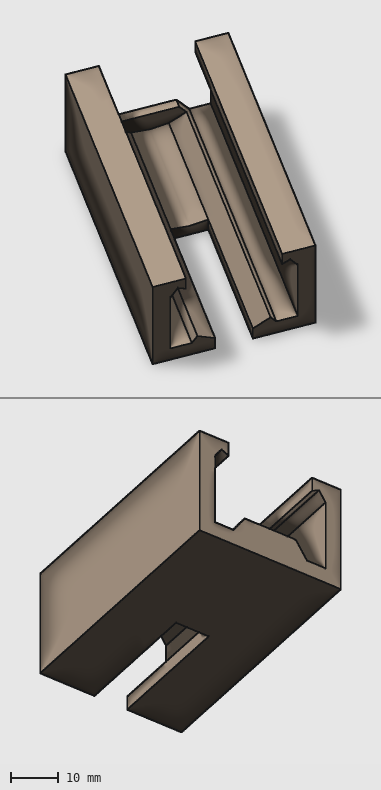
import cadquery as cq

length = 59.5
width = 36.0
height = 26.5
half_width = width / 2

wall = 3.9
floor = 3.85

lip_width = 7.4
lip_tip_z = 22.95
lip_notch_offset = 5.6
lip_notch_z = 23.9
lip_root_z = 21.35

rib_top_z = 8.15
rib_base_half = 9.35
rib_top_half = 6.5

end_plate = 2.0
trough_half = 8.1
trough_knee_z = 3.5
trough_center_z = 3.0

slot_start = 29.05
slot_half = 4.15


def mirrored_outline(half_points):
    """Close an outline from its +Y half by adding the -Y half in reverse."""
    return half_points + [(-y, z) for y, z in reversed(half_points)]


def extrude_along_x(points, start, end):
    """Extrude a YZ outline from one X position to another."""
    return cq.Workplane("YZ", origin=(start, 0, 0)).polyline(points).close().extrude(end - start)


def channel():
    inner_half = half_width - wall
    lip_half = half_width - lip_width
    half_points = [
        (half_width, 0),
        (half_width, height),
        (lip_half, height),
        (lip_half, lip_tip_z),
        (half_width - lip_notch_offset, lip_notch_z),
        (inner_half, lip_root_z),
        (inner_half, floor),
        (rib_base_half, floor),
        (rib_top_half, rib_top_z),
    ]
    return extrude_along_x(mirrored_outline(half_points), 0, length)


def trough():
    rib_slope = (rib_top_z - floor) / (rib_base_half - rib_top_half)
    trough_edge_z = floor + (rib_base_half - trough_half) * rib_slope
    half_points = [
        (0, trough_center_z),
        (slot_half, trough_knee_z),
        (trough_half, trough_edge_z),
        (trough_half, rib_top_z),
    ]
    points = mirrored_outline(half_points)[:-1]
    return extrude_along_x(points, end_plate, length)


def slot():
    return cq.Workplane("XY").box(
        length - slot_start, 2 * slot_half, rib_top_z, centered=(False, True, False)
    ).translate((slot_start, 0, 0))


result = channel().cut(trough()).cut(slot())